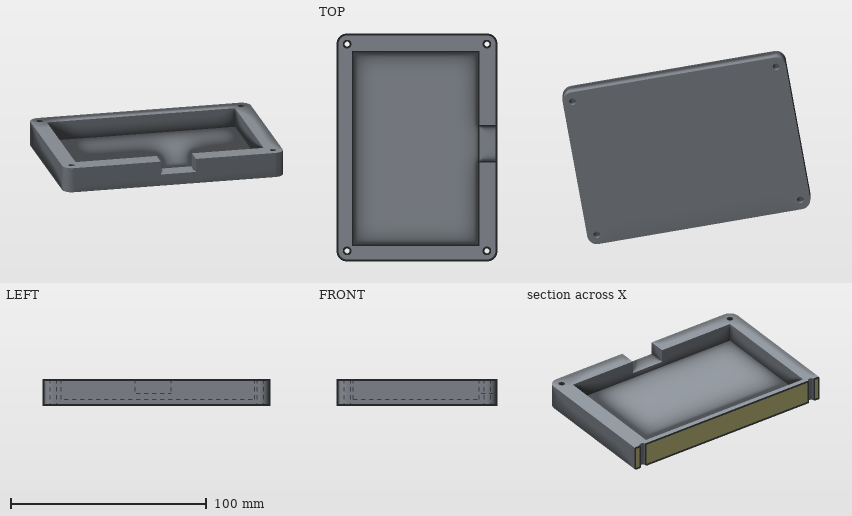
import cadquery as cq

length_x = 81.4
length_y = 115.6
height = 13.0
corner_radius = 5.0

hole_diameter = 3.4
hole_inset = corner_radius

wall_left = 8.0
wall_right = 9.2
wall_front = 8.0
wall_back = 9.0
floor_thickness = 3.0

notch_width = 18.4
notch_center_y = 2.0
notch_depth = 7.0

pocket_x_min = -length_x / 2 + wall_left
pocket_x_max = length_x / 2 - wall_right
pocket_y_min = -length_y / 2 + wall_front
pocket_y_max = length_y / 2 - wall_back


def box_between(x_min, x_max, y_min, y_max, z_min, z_max):
    """Axis-aligned box given by its limits."""
    size = (x_max - x_min, y_max - y_min, z_max - z_min)
    return cq.Workplane("XY").box(*size, centered=False).translate((x_min, y_min, z_min))


def make_block():
    """Outer block with rounded vertical edges."""
    block = cq.Workplane("XY").box(length_x, length_y, height, centered=(True, True, False))
    return block.edges("|Z").fillet(corner_radius)


def make_pocket():
    """Cutter for the main pocket."""
    return box_between(pocket_x_min, pocket_x_max, pocket_y_min, pocket_y_max, floor_thickness, height)


def make_notch():
    """Cutter for the notch from the pocket out through the +X wall."""
    y_min = notch_center_y - notch_width / 2
    y_max = notch_center_y + notch_width / 2
    return box_between(pocket_x_max, length_x / 2, y_min, y_max, height - notch_depth, height)


def make_screw_holes():
    """Cutters for the four through holes in the corners."""
    spacing_x = length_x - 2 * hole_inset
    spacing_y = length_y - 2 * hole_inset
    return (
        cq.Workplane("XY")
        .rect(spacing_x, spacing_y, forConstruction=True)
        .vertices()
        .circle(hole_diameter / 2)
        .extrude(height)
    )


result = make_block().cut(make_pocket()).cut(make_notch()).cut(make_screw_holes())